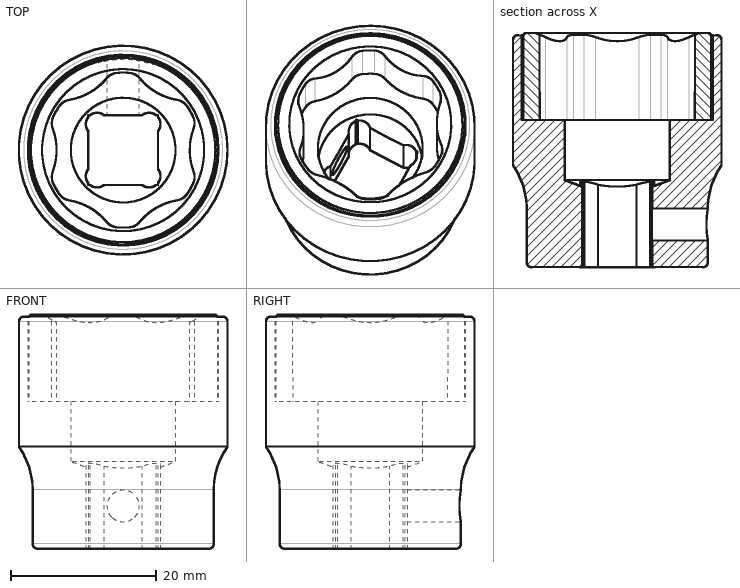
import cadquery as cq
import math

total_height = 32.3
insert_protrusion = 0.3
housing_height = total_height - insert_protrusion

socket_radius = 14.4
drive_end_radius = 12.5
outer_fillet = 0.7
neck_bottom_z = 8.2
neck_arc_radius = 10.0

insert_radius = 13.0
insert_clearance = 0.15
bore_radius = insert_radius + insert_clearance
floor_z = 20.3

drive_square = 9.6
corner_relief_radius = 1.55
corner_relief_offset = 3.58
floor_hole_radius = 7.22
floor_hole_bottom_z = 12.0
cone_small_radius = drive_square / 2
cone_slope = math.radians(20)
cone_height = (floor_hole_radius - cone_small_radius) * math.tan(cone_slope)

ball_hole_radius = 2.2
ball_hole_z = 5.9

insert_chamfer = insert_protrusion
lobe_count = 6
lobe_radius = 10.68
flank_inner_radius = 9.17
flank_arc_radius = 8.5
lobe_fillet = 2.1
lead_in_radius = 11.17
lead_in_slope = math.radians(30)
lead_in_depth = (lead_in_radius - flank_inner_radius) * math.tan(lead_in_slope)


def polar(radius, angle):
    return (radius * math.cos(angle), radius * math.sin(angle))


def make_housing_blank():
    """Turned outside; the neck arc is tangent to the drive end and meets the socket end at a corner."""
    arc_center_r = drive_end_radius + neck_arc_radius
    neck_angle = math.acos((arc_center_r - socket_radius) / neck_arc_radius)

    def neck_point(angle):
        return (
            arc_center_r - neck_arc_radius * math.cos(angle),
            neck_bottom_z + neck_arc_radius * math.sin(angle),
        )

    blank = (
        cq.Workplane("XZ")
        .moveTo(0, 0)
        .lineTo(drive_end_radius, 0)
        .lineTo(drive_end_radius, neck_bottom_z)
        .threePointArc(neck_point(neck_angle / 2), neck_point(neck_angle))
        .lineTo(socket_radius, housing_height)
        .lineTo(0, housing_height)
        .close()
        .revolve(360, (0, 0), (0, 1))
    )
    return blank.faces("<Z or >Z").edges().fillet(outer_fillet)


def make_insert_bore():
    return (
        cq.Workplane("XY")
        .workplane(offset=floor_z)
        .circle(bore_radius)
        .extrude(housing_height - floor_z)
    )


def make_drive_opening():
    square = cq.Workplane("XY").rect(drive_square, drive_square).extrude(floor_hole_bottom_z)
    reliefs = (
        cq.Workplane("XY")
        .rect(2 * corner_relief_offset, 2 * corner_relief_offset, forConstruction=True)
        .vertices()
        .circle(corner_relief_radius)
        .extrude(floor_hole_bottom_z)
    )
    cone_bottom = cq.Vector(0, 0, floor_hole_bottom_z - cone_height)
    cone = cq.Workplane(cq.Solid.makeCone(cone_small_radius, floor_hole_radius, cone_height, cone_bottom))
    floor_hole = (
        cq.Workplane("XY")
        .workplane(offset=floor_hole_bottom_z)
        .circle(floor_hole_radius)
        .extrude(floor_z - floor_hole_bottom_z)
    )
    return square.union(reliefs).union(cone).union(floor_hole)


def make_ball_hole():
    """Hole along +Y from the drive opening out through the wall."""
    return cq.Workplane(
        cq.Solid.makeCylinder(
            ball_hole_radius, socket_radius, cq.Vector(0, 0, ball_hole_z), cq.Vector(0, 1, 0)
        )
    )


def make_housing():
    return make_housing_blank().cut(make_insert_bore()).cut(make_drive_opening()).cut(make_ball_hole())


def make_lobed_opening():
    """Convex flanks and concentric lobe tips, joined by fillet arcs tangent to both."""
    flank_center = flank_inner_radius + flank_arc_radius
    fillet_center = lobe_radius - lobe_fillet
    center_gap = flank_arc_radius + lobe_fillet
    fillet_angle = math.acos(
        (flank_center**2 + fillet_center**2 - center_gap**2) / (2 * flank_center * fillet_center)
    )
    flank_half_angle = math.asin(fillet_center * math.sin(fillet_angle) / center_gap)
    flank_end_x = flank_center - flank_arc_radius * math.cos(flank_half_angle)
    flank_end_y = flank_arc_radius * math.sin(flank_half_angle)
    flank_end_radius = math.hypot(flank_end_x, flank_end_y)
    flank_end_angle = math.atan2(flank_end_y, flank_end_x)
    fillet_mid_direction = (fillet_angle - flank_half_angle) / 2
    fillet_x, fillet_y = polar(fillet_center, fillet_angle)
    fillet_mid_x = fillet_x + lobe_fillet * math.cos(fillet_mid_direction)
    fillet_mid_y = fillet_y + lobe_fillet * math.sin(fillet_mid_direction)
    fillet_mid_radius = math.hypot(fillet_mid_x, fillet_mid_y)
    fillet_mid_angle = math.atan2(fillet_mid_y, fillet_mid_x)

    pitch = 2 * math.pi / lobe_count
    outline = cq.Workplane("XY").workplane(offset=floor_z)
    outline = outline.moveTo(*polar(flank_end_radius, -flank_end_angle))
    for i in range(lobe_count):
        flank = i * pitch
        next_flank = flank + pitch
        flank_end = polar(flank_end_radius, flank + flank_end_angle)
        tip_start = polar(lobe_radius, flank + fillet_angle)
        tip_end = polar(lobe_radius, next_flank - fillet_angle)
        next_flank_start = polar(flank_end_radius, next_flank - flank_end_angle)
        outline = (
            outline.threePointArc(polar(flank_inner_radius, flank), flank_end)
            .threePointArc(polar(fillet_mid_radius, flank + fillet_mid_angle), tip_start)
            .threePointArc(polar(lobe_radius, flank + pitch / 2), tip_end)
            .threePointArc(polar(fillet_mid_radius, next_flank - fillet_mid_angle), next_flank_start)
        )
    return outline.close().extrude(total_height - floor_z)


def make_insert():
    ring = (
        cq.Workplane("XY")
        .workplane(offset=floor_z)
        .circle(insert_radius)
        .extrude(total_height - floor_z)
        .faces(">Z")
        .edges()
        .chamfer(insert_chamfer)
    )
    lead_in = cq.Workplane(
        cq.Solid.makeCone(
            flank_inner_radius,
            lead_in_radius,
            lead_in_depth,
            pnt=cq.Vector(0, 0, total_height - lead_in_depth),
        )
    )
    return ring.cut(make_lobed_opening()).cut(lead_in)


housing = make_housing()
insert = make_insert()

result = cq.Compound.makeCompound([housing.val(), insert.val()])